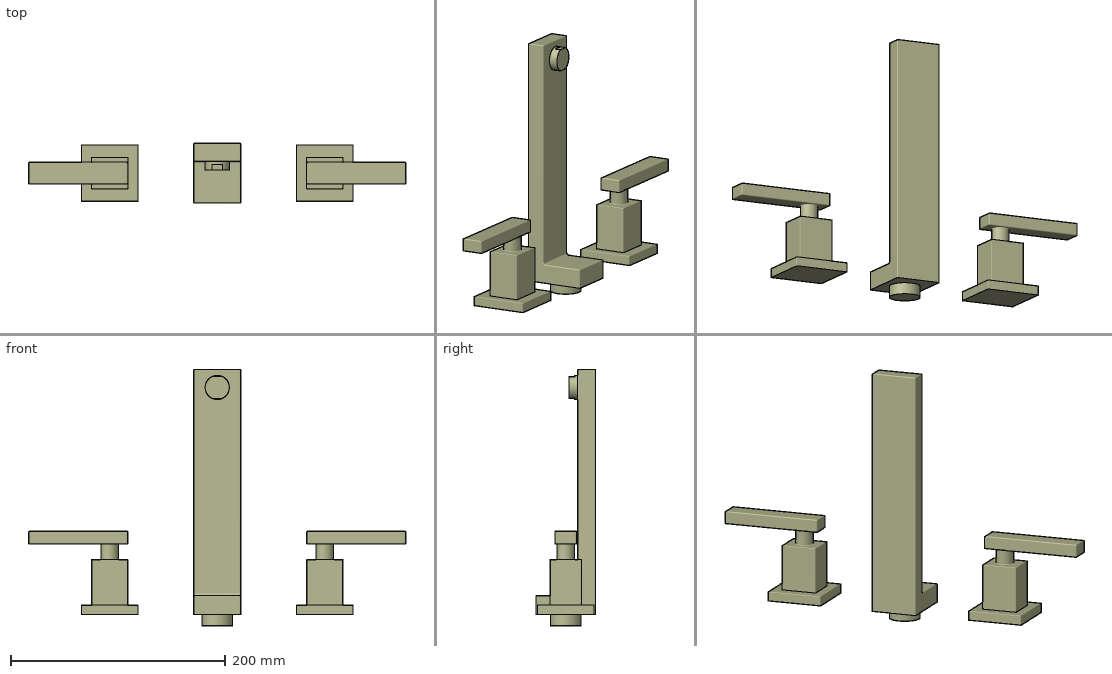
import cadquery as cq

overall_length = 352.5
handle_spacing = 201.0

edge_round = 1.0
slight_edge_round = 0.5

spout_width = 44.0
spout_depth = 56.0
spout_height = 229.0
column_thickness = 17.0
foot_thickness = 17.5
inner_corner_radius = 2.0
stem_diameter = 29.0
stem_length = 10.5

aerator_diameter = 22.5
aerator_length = 8.0
aerator_collar_length = 2.8
aerator_flat_distance = 20.5
aerator_drop = 17.0

plate_side = 53.0
plate_thickness = 8.8
post_length = 34.0
post_width = 29.3
post_height = 42.5
neck_diameter = 16.5
neck_height = 14.5
lever_width = 20.5
lever_thickness = 12.0

handle_x = handle_spacing / 2
lever_inner_x = handle_x - post_length / 2
lever_length = overall_length / 2 - lever_inner_x
post_base_z = plate_thickness
neck_base_z = post_base_z + post_height
lever_base_z = neck_base_z + neck_height
spout_back_y = spout_depth / 2
spout_front_y = -spout_depth / 2
column_front_y = spout_back_y - column_thickness
aerator_z = spout_height - aerator_drop


def block(length, width, height, base_z):
    """Rectangular block standing on the height base_z, centred on the Z axis."""
    return cq.Workplane("XY").workplane(offset=base_z).box(
        length, width, height, centered=(True, True, False)
    )


def aerator_base():
    """Workplane on the column front, facing -Y and centred on the aerator."""
    return cq.Workplane("XZ", origin=(0, column_front_y, aerator_z))


def make_aerator():
    """Disc pointing to -Y: a full round collar, then a length with two flats."""
    collar = aerator_base().circle(aerator_diameter / 2).extrude(aerator_collar_length)
    disc = aerator_base().circle(aerator_diameter / 2).extrude(aerator_length)
    between_flats = (
        aerator_base().rect(aerator_diameter, aerator_flat_distance).extrude(aerator_length)
    )
    return collar.union(disc.intersect(between_flats))


def make_spout():
    """L-shaped spout, rounded except around its flat bottom, with a stem and an aerator."""
    body = (
        cq.Workplane("YZ")
        .moveTo(spout_front_y, 0)
        .lineTo(spout_back_y, 0)
        .lineTo(spout_back_y, spout_height)
        .lineTo(column_front_y, spout_height)
        .lineTo(column_front_y, foot_thickness)
        .lineTo(spout_front_y, foot_thickness)
        .close()
        .extrude(spout_width / 2, both=True)
    )
    inner_corner = cq.selectors.NearestToPointSelector((0, column_front_y, foot_thickness))
    body = body.edges("|X").edges(inner_corner).fillet(inner_corner_radius)
    outer_edges = body.faces("<X or >X or >Z or >Y or <Y").edges("not <Z")
    body = outer_edges.fillet(edge_round)
    stem = cq.Workplane("XY").circle(stem_diameter / 2).extrude(-stem_length)
    return body.union(stem).union(make_aerator())


def round_neck_ends(handle):
    """Blend both ends of the neck into the post below and the lever above."""
    neck_zone = cq.selectors.BoxSelector(
        (-neck_diameter, -neck_diameter, neck_base_z - slight_edge_round / 2),
        (neck_diameter, neck_diameter, lever_base_z + slight_edge_round / 2),
    )
    return handle.edges("%CIRCLE").edges(neck_zone).fillet(slight_edge_round)


def make_handle():
    """Handle with its lever pointing to +X."""
    plate = block(plate_side, plate_side, plate_thickness, 0)
    plate = plate.edges("|Z or >Z").fillet(slight_edge_round)
    post = block(post_length, post_width, post_height, post_base_z)
    post = post.edges("|Z or >Z").fillet(slight_edge_round)
    neck = (
        cq.Workplane("XY")
        .workplane(offset=neck_base_z)
        .circle(neck_diameter / 2)
        .extrude(neck_height)
    )
    lever = block(lever_length, lever_width, lever_thickness, lever_base_z)
    lever = lever.edges().fillet(edge_round)
    lever = lever.translate(((lever_length - post_length) / 2, 0, 0))
    handle = round_neck_ends(plate.union(post).union(neck).union(lever))
    return handle.translate((handle_x, 0, 0))


spout = make_spout()

right_handle = make_handle()
handles = [right_handle, right_handle.mirror("YZ")]

result = cq.Compound.makeCompound([spout.val(), *[handle.val() for handle in handles]])